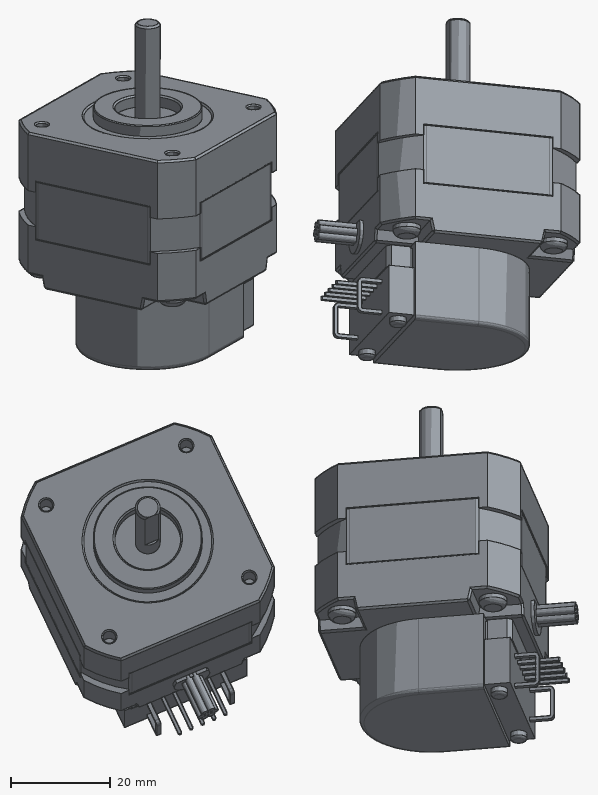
import cadquery as cq
import math


overall_height = 69.9
overall_depth = 50.6
tolerance = 0.01

body_width = 42.0
body_half = body_width / 2
body_length = 32.9
body_corner_radius = 26.0
body_chamfer = 0.4

stack_half = 20.9
stack_corner_radius = 24.8
stack_flat_half = 12.95
window_half = 13.55
window_top = -10.15
window_height = 12.6
stack_chamfer = 0.2
band_top = -12.45
band_height = 7.4

hole_offset = 15.45
hole_radius = 1.25
hole_mouth_radius = 1.55
hole_depth = 4.5
recess_radius = 12.9
recess_depth = 0.35
pilot_radius = 11.0
pilot_height = 1.95
pilot_chamfer = 0.2
bore_radius = 6.65
bore_depth = 2.5
bore_chamfer = 0.35

shaft_radius = 2.5
shaft_tip = 20.0
shaft_chamfer = 0.4
flat_offset = 2.0
flat_start = 4.6

pocket_inner = 11.6
pocket_size = 21
pocket_depth = 2.5
pocket_draft = 12
pocket_ceiling = pocket_depth - body_length
screw_radius = 2.8
screw_rim = 0.85
screw_height = 1.95

housing_radius = 14.5
housing_back = 13.3
housing_length = 16.5
housing_fillet = 0.85

block_half_width = 13.5
block_back = 18.6
block_top = -38.25
block_bottom = -48.3
head_half_width = 13.0
head_front = 13.85
head_back = 18.8
head_top = -33.7
head_chamfer = 0.9
neck_half_width = 12.25
foot_screw_x = 10.55
foot_screw_y = 15.8
foot_screw_radius = 1.7
foot_screw_rim = 1.05
foot_screw_height = overall_height - shaft_tip + block_bottom

pin_count = 5
pin_pitch = 2.5
pin_size = 0.7
pin_chamfer = 0.2
pin_top = -39.65
pin_end = 27.2
tab_offset = 8.1
tab_width = 0.9
tab_thickness = 0.7
tab_end = 23.55
tab_height = 7.3
tab_bend_radius = 1.0

cable_z = -27.55
cable_end = overall_depth - body_half
wire_radius = 0.8
wire_pitch = 1.5
ring_wire_count = 6
grommet_radius = 3.9
grommet_top = 1.95
grommet_thickness = 0.7


def box(x0, x1, y0, y1, z0, z1):
    return cq.Workplane("XY").box(x1 - x0, y1 - y0, z1 - z0, centered=False).translate((x0, y0, z0))


def disc(radius, z0, z1):
    return cq.Workplane("XY").workplane(offset=z0).circle(radius).extrude(z1 - z0)


def prism(half_width, corner_radius, z0, z1):
    """Square column whose corners are rounded about the motor axis."""
    square = box(-half_width, half_width, -half_width, half_width, z0, z1)
    return square.intersect(disc(corner_radius, z0, z1))


def four_around(shape):
    """Copies of a shape at every quarter turn about the motor axis."""
    copies = shape
    for turn in (90, 180, 270):
        copies = copies.union(shape.rotate((0, 0, 0), (0, 0, 1), turn))
    return copies


def screw_head(radius, rim, height, seat_z):
    """Domed head hanging below its seat."""
    crown_radius = 0.65 * radius
    dome_height = height - rim
    dome_middle = (0.9 * radius, -rim - 0.55 * dome_height)
    profile = (
        cq.Workplane("XZ")
        .lineTo(radius, 0)
        .lineTo(radius, -rim)
        .threePointArc(dome_middle, (crown_radius, -height))
        .lineTo(0, -height)
        .close()
    )
    return profile.revolve(360, (0, 0, 0), (0, 1, 0)).translate((0, 0, seat_z))


def is_rear_rim(edge):
    """True for the outer edges of the rear face and of its corner pockets."""
    center = edge.Center()
    on_rear_face = abs(center.z + body_length) < tolerance
    on_side = max(abs(center.x), abs(center.y)) > body_half - tolerance
    on_corner = edge.geomType() == "CIRCLE"
    return center.z < pocket_ceiling + tolerance and (on_rear_face or on_side or on_corner)


def make_body():
    body = prism(body_half, body_corner_radius, -body_length, 0)
    body = body.faces(">Z").edges().chamfer(body_chamfer)

    pocket_center = pocket_inner + pocket_size / 2
    pocket = (
        cq.Workplane("XY")
        .rect(pocket_size, pocket_size)
        .extrude(pocket_depth, taper=pocket_draft)
        .translate((pocket_center, pocket_center, -body_length))
    )
    body = body.cut(four_around(pocket))
    rear_rim = [edge for edge in body.edges().vals() if is_rear_rim(edge)]
    body = body.newObject(rear_rim).chamfer(body_chamfer)

    screw = screw_head(screw_radius, screw_rim, screw_height, pocket_ceiling)
    return body.union(four_around(screw.translate((hole_offset, hole_offset, 0))))


def expose_stack(body):
    """Open the side windows and the corner band, and fill them with the recessed lamination."""
    window_bottom = window_top - window_height
    band_bottom = band_top - band_height
    slot = box(-window_half, window_half, -body_half, body_half, window_bottom, window_top)
    band = box(-body_half, body_half, -body_half, body_half, band_bottom, band_top)
    opening = slot.union(slot.rotate((0, 0, 0), (0, 0, 1), 90)).union(band)

    side_y = math.sqrt(stack_corner_radius**2 - window_half**2)
    diagonal = stack_corner_radius / math.sqrt(2)
    quarter = (
        cq.Workplane("XY")
        .workplane(offset=window_bottom)
        .lineTo(0, -stack_half)
        .lineTo(stack_flat_half, -stack_half)
        .lineTo(window_half, -side_y)
        .threePointArc((diagonal, -diagonal), (side_y, -window_half))
        .lineTo(stack_half, -stack_flat_half)
        .lineTo(stack_half, 0)
        .close()
        .extrude(window_height)
    )
    stack = four_around(quarter).clean()
    stack = stack.faces("<Z or >Z").edges().chamfer(stack_chamfer)
    return body.cut(opening).union(stack)


def countersink(radius, mouth_radius, depth, mouth_z):
    """Blind round hole with a 45 degree chamfer around its mouth."""
    chamfer = mouth_radius - radius
    profile = (
        cq.Workplane("XZ")
        .lineTo(mouth_radius, 0)
        .lineTo(radius, -chamfer)
        .lineTo(radius, -depth)
        .lineTo(0, -depth)
        .close()
    )
    return profile.revolve(360, (0, 0, 0), (0, 1, 0)).translate((0, 0, mouth_z))


def shape_mounting_face(body):
    recess = (
        cq.Workplane("XY")
        .workplane(offset=-recess_depth)
        .circle(recess_radius)
        .workplane(offset=recess_depth)
        .circle(recess_radius + recess_depth)
        .loft()
    )
    pilot = disc(pilot_radius, -recess_depth, pilot_height).faces(">Z").edges().chamfer(pilot_chamfer)
    bore = countersink(bore_radius, bore_radius + bore_chamfer, bore_depth, pilot_height)
    hole = countersink(hole_radius, hole_mouth_radius, hole_depth, 0)
    holes = four_around(hole.translate((hole_offset, hole_offset, 0)))
    return body.cut(recess).union(pilot).cut(bore).cut(holes)


def make_shaft():
    root = pilot_height - bore_depth
    shaft = disc(shaft_radius, root, shaft_tip).faces(">Z").edges().chamfer(shaft_chamfer)
    flat = box(-shaft_radius, shaft_radius, flat_offset, shaft_radius, flat_start, shaft_tip)
    return shaft.cut(flat)


def make_housing():
    """Cover that is round at the front and straight-sided back to the terminal block."""
    profile = (
        cq.Workplane("XY")
        .workplane(offset=-body_length - housing_length)
        .moveTo(housing_radius, housing_back)
        .lineTo(housing_radius, 0)
        .threePointArc((0, -housing_radius), (-housing_radius, 0))
        .lineTo(-housing_radius, housing_back)
        .close()
    )
    housing = profile.extrude(housing_length)
    return housing.faces("<Z").edges("not >Y").fillet(housing_fillet)


def make_terminal_block():
    base = box(-block_half_width, block_half_width, 0, block_back, block_bottom, block_top)
    head = box(-head_half_width, head_half_width, head_front, head_back, block_top, head_top)
    head = head.faces(">Y").edges("|Z").chamfer(head_chamfer)
    neck = box(-neck_half_width, neck_half_width, 0, head_front, block_top, head_top)
    block = base.union(head).union(neck)
    foot_screw = screw_head(foot_screw_radius, foot_screw_rim, foot_screw_height, block_bottom)
    for x in (-foot_screw_x, foot_screw_x):
        block = block.union(foot_screw.translate((x, foot_screw_y, 0)))
    return block


def make_terminals():
    terminals = cq.Workplane("XY")
    half_pin = pin_size / 2
    pin = box(-half_pin, half_pin, 0, pin_end, pin_top - pin_size, pin_top)
    pin = pin.faces(">Y").edges("|Z").chamfer(pin_chamfer)
    for i in range(pin_count):
        x = (i - (pin_count - 1) / 2) * pin_pitch
        terminals = terminals.add(pin.translate((x, 0, 0)))

    half_tab = tab_width / 2
    tab_bottom = pin_top - tab_height
    outer = box(-half_tab, half_tab, 0, tab_end, tab_bottom, pin_top)
    outer = outer.faces(">Y").edges("|X").fillet(tab_bend_radius)
    inner_end = tab_end - tab_thickness
    inner = box(-half_tab, half_tab, 0, inner_end, tab_bottom + tab_thickness, pin_top - tab_thickness)
    inner = inner.faces(">Y").edges("|X").fillet(tab_bend_radius - tab_thickness)
    tab = outer.cut(inner)
    for x in (-tab_offset, tab_offset):
        terminals = terminals.add(tab.translate((x, 0, 0)))
    return terminals.combine()


def make_cable():
    """Flat-topped round grommet with seven wires: one central and six around it."""
    ring = cq.Workplane("XZ").polarArray(wire_pitch, 0, 360, ring_wire_count)
    ring = ring.circle(wire_radius).extrude(-cable_end, combine=False)
    wires = cq.Workplane("XZ").circle(wire_radius).extrude(-cable_end).union(ring)
    grommet_flat_half = math.sqrt(grommet_radius**2 - grommet_top**2)
    grommet = (
        cq.Workplane("XZ")
        .moveTo(-grommet_flat_half, grommet_top)
        .threePointArc((0, -grommet_radius), (grommet_flat_half, grommet_top))
        .close()
        .extrude(-body_half - grommet_thickness)
    )
    return wires.union(grommet).translate((0, 0, cable_z))


result = shape_mounting_face(expose_stack(make_body()))
for feature in (make_shaft(), make_housing(), make_terminal_block(), make_terminals(), make_cable()):
    result = result.union(feature)